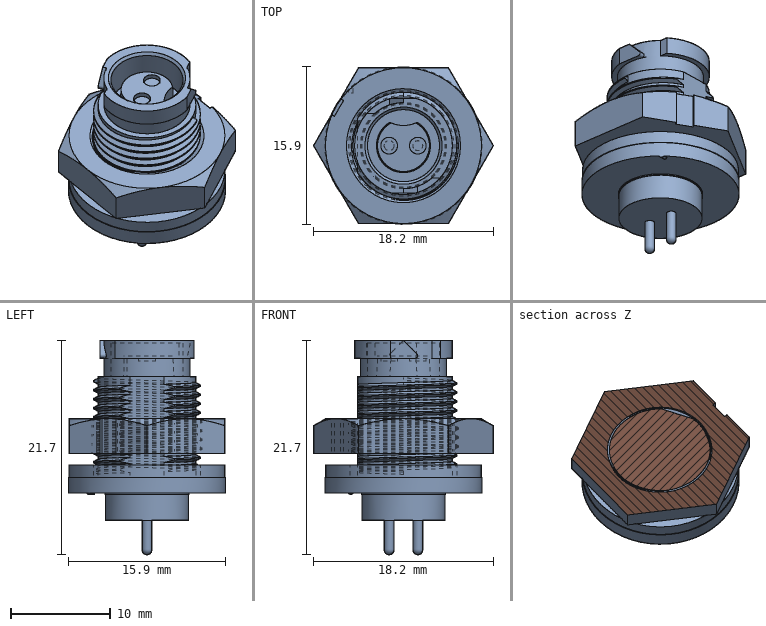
import cadquery as cq
import math

TOP_Z = 21.65
COLLAR_BOTTOM_Z = 19.85
BARREL_TOP_Z = 17.98
NUT_TOP_Z = 13.75
NUT_BOTTOM_Z = 10.21
GASKET_TOP_Z = 9.09
FLANGE_TOP_Z = 7.81
FLANGE_BOTTOM_Z = 6.23
STEP_HEIGHT = 0.13
REAR_BOTTOM_Z = 3.48

BARREL_RADIUS = 4.93
BARREL_FLAT_X = -4.63
COLLAR_RADIUS = BARREL_RADIUS
COLLAR_FLAT_Y = 4.75
NECK_RADIUS = 4.35
FLANGE_RADIUS = 7.95
STEP_RADIUS = 4.26
REAR_RADIUS = 4.2

PITCH = 0.9
THREAD_TURNS = 10
THREAD_END_Z = 17.53
THREAD_END_ANGLE = 90
THREAD_CREST_RADIUS = 5.39
THREAD_CREST_WIDTH = 0.13
THREAD_ROOT_WIDTH = 0.63
THREAD_ROOT_OVERLAP = 0.09

NOTCH_WALL_Y = -3.25
RAMP_TOP_X = 0.0
RAMP_NOSE_RADIUS = 0.25

BORE_RADIUS = 3.64
BORE_CHAMFER = 0.25
BORE_FLOOR_Z = BARREL_TOP_Z
INSERT_TOP_Z = 20.05
INSERT_BASE_RADIUS = 2.73
INSERT_TOP_RADIUS = 2.62
KEYWAY_RADIUS = 3.12
KEYWAY_BOTTOM_Y = 2.03

CONTACT_X = 1.45
CONTACT_HOLE_RADIUS = 0.85
CONTACT_HOLE_DEPTH = 0.48
PIN_RADIUS = 0.5

BEAD_X = -5.32
BEAD_Y = 5.85
BEAD_LENGTH = 1.1
BEAD_WIDTH = 0.45
BEAD_HEIGHT = 0.13

NUT_ACROSS_FLATS = 15.73
NUT_CORNER_RADIUS = NUT_ACROSS_FLATS / 2 / math.cos(math.radians(30))
NUT_HOLE_RADIUS = 5.09
NUT_GROOVE_RADIUS = 5.55
NUT_COUNTERSINK_RADIUS = 5.75
NUT_COUNTERSINK_ANGLE = 30
NUT_CHAMFER_ANGLE = 30
NUT_SLOT_WIDTH = 1.85
NUT_SLOT_DEPTH = 0.35
NUT_SLOT_ANGLE = 150

GASKET_RADIUS = 7.88
GASKET_HOLE_RADIUS = 5.4


def disc(radius, bottom_z, top_z):
    """A solid cylinder on the connector axis."""
    return cq.Workplane("XY", origin=(0, 0, bottom_z)).circle(radius).extrude(top_z - bottom_z)


def make_thread(crest_radius):
    """Right-hand helical ridge whose crest lies at the given radius and whose foot is inside the barrel."""
    foot_radius = BARREL_RADIUS - THREAD_ROOT_OVERLAP
    flank_slope = (THREAD_ROOT_WIDTH - THREAD_CREST_WIDTH) / (THREAD_CREST_RADIUS - BARREL_RADIUS)
    foot_width = THREAD_CREST_WIDTH + flank_slope * (crest_radius - foot_radius)
    length = PITCH * THREAD_TURNS
    helix = cq.Wire.makeHelix(PITCH, length, foot_radius)
    profile = [
        (foot_radius, -foot_width / 2),
        (crest_radius, -THREAD_CREST_WIDTH / 2),
        (crest_radius, THREAD_CREST_WIDTH / 2),
        (foot_radius, foot_width / 2),
    ]
    ridge = cq.Workplane("XZ").polyline(profile).close().sweep(cq.Workplane(helix), isFrenet=True)
    return ridge.rotate((0, 0, 0), (0, 0, 1), THREAD_END_ANGLE).translate((0, 0, THREAD_END_Z - length))


def make_barrel():
    """Threaded barrel with one flat along its -X side."""
    core = disc(BARREL_RADIUS, FLANGE_TOP_Z, BARREL_TOP_Z)
    depth = 2 * BARREL_RADIUS
    beyond_flat = cq.Workplane("XY", origin=(BARREL_FLAT_X - depth / 2, 0, FLANGE_TOP_Z)).box(
        depth, 2 * depth, 2 * TOP_Z
    )
    return core.cut(beyond_flat).union(make_thread(THREAD_CREST_RADIUS).cut(beyond_flat))


def make_notch():
    """Bayonet notch on the -Y side, from a 45 degree ramp with a rounded nose to a wall facing -Y."""
    nose_z = COLLAR_BOTTOM_Z + RAMP_NOSE_RADIUS
    diagonal = RAMP_NOSE_RADIUS * math.sqrt(0.5)
    nose_x = RAMP_TOP_X + TOP_Z - nose_z - 2 * diagonal
    outline = (
        cq.Workplane("XZ", origin=(0, NOTCH_WALL_Y, 0))
        .moveTo(RAMP_TOP_X, TOP_Z)
        .lineTo(nose_x + diagonal, nose_z + diagonal)
        .threePointArc((nose_x + RAMP_NOSE_RADIUS, nose_z), (nose_x, COLLAR_BOTTOM_Z))
        .lineTo(COLLAR_RADIUS, COLLAR_BOTTOM_Z)
        .lineTo(COLLAR_RADIUS, TOP_Z)
        .close()
        .extrude(COLLAR_RADIUS + NOTCH_WALL_Y)
    )
    return outline.cut(disc(NECK_RADIUS, COLLAR_BOTTOM_Z, TOP_Z))


def make_collar():
    """Top collar with two flats and two opposite bayonet notches."""
    flats = (
        cq.Workplane("XY", origin=(0, 0, COLLAR_BOTTOM_Z))
        .rect(2 * COLLAR_RADIUS, 2 * COLLAR_FLAT_Y)
        .extrude(TOP_Z - COLLAR_BOTTOM_Z)
    )
    collar = disc(COLLAR_RADIUS, COLLAR_BOTTOM_Z, TOP_Z).intersect(flats)
    for angle in (0, 180):
        collar = collar.cut(make_notch().rotate((0, 0, 0), (0, 0, 1), angle))
    return collar


def make_bore():
    """Cavity in the top of the housing, with a chamfered mouth."""
    bore = disc(BORE_RADIUS, BORE_FLOOR_Z, TOP_Z)
    mouth_radius = BORE_RADIUS + BORE_CHAMFER
    return bore.faces(">Z").workplane().circle(mouth_radius).extrude(-BORE_CHAMFER, taper=45)


def make_insert():
    """Tapered contact insert with a concave keyway on +Y and two blind contact holes."""
    height = INSERT_TOP_Z - BORE_FLOOR_Z
    draft = math.degrees(math.atan((INSERT_BASE_RADIUS - INSERT_TOP_RADIUS) / height))
    insert = (
        cq.Workplane("XY", origin=(0, 0, BORE_FLOOR_Z))
        .circle(INSERT_BASE_RADIUS)
        .extrude(height, taper=draft)
    )
    keyway = disc(KEYWAY_RADIUS, BORE_FLOOR_Z, INSERT_TOP_Z).translate(
        (0, KEYWAY_BOTTOM_Y + KEYWAY_RADIUS, 0)
    )
    holes = (
        cq.Workplane("XY", origin=(0, 0, INSERT_TOP_Z))
        .pushPoints([(-CONTACT_X, 0), (CONTACT_X, 0)])
        .circle(CONTACT_HOLE_RADIUS)
        .extrude(-CONTACT_HOLE_DEPTH)
    )
    return insert.cut(keyway).cut(holes)


def make_pin(x):
    """Round-ended solder pin under the rear of the housing."""
    shank = disc(PIN_RADIUS, PIN_RADIUS, REAR_BOTTOM_Z)
    tip = cq.Workplane("XY", origin=(0, 0, PIN_RADIUS)).sphere(PIN_RADIUS)
    return shank.union(tip).translate((x, 0, 0))


def make_bead():
    """Half-round bead under the flange, lying along Y and ending at the rim."""
    bead = (
        cq.Workplane("XZ", origin=(BEAD_X, BEAD_Y + BEAD_LENGTH / 2, FLANGE_BOTTOM_Z))
        .moveTo(-BEAD_WIDTH / 2, 0)
        .threePointArc((0, -BEAD_HEIGHT), (BEAD_WIDTH / 2, 0))
        .close()
        .extrude(BEAD_LENGTH)
    )
    return bead.intersect(disc(FLANGE_RADIUS, FLANGE_BOTTOM_Z - BEAD_HEIGHT, FLANGE_BOTTOM_Z))


def make_housing():
    """Housing with its flange, threaded barrel, bayonet collar, insert and pins."""
    step_bottom_z = FLANGE_BOTTOM_Z - STEP_HEIGHT
    housing = (
        disc(REAR_RADIUS, REAR_BOTTOM_Z, step_bottom_z)
        .union(disc(STEP_RADIUS, step_bottom_z, FLANGE_BOTTOM_Z))
        .union(disc(FLANGE_RADIUS, FLANGE_BOTTOM_Z, FLANGE_TOP_Z))
        .union(make_bead())
        .union(make_barrel())
        .union(disc(NECK_RADIUS, BARREL_TOP_Z, COLLAR_BOTTOM_Z))
        .union(make_collar())
        .cut(make_bore())
        .union(make_insert())
    )
    for x in (-CONTACT_X, CONTACT_X):
        housing = housing.union(make_pin(x))
    return housing


def make_nut_outside():
    """Hexagon prism with chamfered top corners and a slot in one flat, without its hole."""
    height = NUT_TOP_Z - NUT_BOTTOM_Z
    inner_radius = NUT_ACROSS_FLATS / 2
    chamfer_drop = (NUT_CORNER_RADIUS - inner_radius) * math.tan(math.radians(NUT_CHAMFER_ANGLE))
    hexagon = (
        cq.Workplane("XY", origin=(0, 0, NUT_BOTTOM_Z)).polygon(6, 2 * NUT_CORNER_RADIUS).extrude(height)
    )
    chamfered_blank = (
        cq.Workplane("XZ")
        .moveTo(0, NUT_BOTTOM_Z)
        .lineTo(NUT_CORNER_RADIUS, NUT_BOTTOM_Z)
        .lineTo(NUT_CORNER_RADIUS, NUT_TOP_Z - chamfer_drop)
        .lineTo(inner_radius, NUT_TOP_Z)
        .lineTo(0, NUT_TOP_Z)
        .close()
        .revolve(360, (0, 0, 0), (0, 1, 0))
    )
    slot = (
        cq.Workplane("XY", origin=(inner_radius, 0, NUT_BOTTOM_Z))
        .rect(2 * NUT_SLOT_DEPTH, NUT_SLOT_WIDTH)
        .extrude(height)
        .rotate((0, 0, 0), (0, 0, 1), NUT_SLOT_ANGLE)
    )
    return hexagon.intersect(chamfered_blank).cut(slot)


def make_nut():
    """Hexagon nut with a countersunk hole, threaded with clearance around the barrel thread."""
    countersink_width = NUT_COUNTERSINK_RADIUS - NUT_HOLE_RADIUS
    countersink_depth = countersink_width * math.tan(math.radians(NUT_COUNTERSINK_ANGLE))
    countersink = (
        cq.Workplane("XZ")
        .moveTo(0, TOP_Z)
        .lineTo(NUT_COUNTERSINK_RADIUS, TOP_Z)
        .lineTo(NUT_COUNTERSINK_RADIUS, NUT_TOP_Z)
        .lineTo(NUT_HOLE_RADIUS, NUT_TOP_Z - countersink_depth)
        .lineTo(0, NUT_TOP_Z - countersink_depth)
        .close()
        .revolve(360, (0, 0, 0), (0, 1, 0))
    )
    return (
        disc(NUT_CORNER_RADIUS, 0, TOP_Z)
        .cut(disc(NUT_HOLE_RADIUS, 0, TOP_Z))
        .cut(make_thread(NUT_GROOVE_RADIUS))
        .cut(disc(NUT_CORNER_RADIUS, 0, NUT_BOTTOM_Z))
        .cut(disc(NUT_CORNER_RADIUS, NUT_TOP_Z, TOP_Z))
        .cut(countersink)
        .intersect(make_nut_outside())
    )


def make_gasket():
    """Flat sealing ring that lies on the flange, clear of the thread."""
    ring = disc(GASKET_RADIUS, FLANGE_TOP_Z, GASKET_TOP_Z)
    return ring.cut(disc(GASKET_HOLE_RADIUS, FLANGE_TOP_Z, GASKET_TOP_Z))


housing = make_housing()
nut = make_nut()
gasket = make_gasket()

result = cq.Compound.makeCompound([body.solids().val() for body in (housing, nut, gasket)])